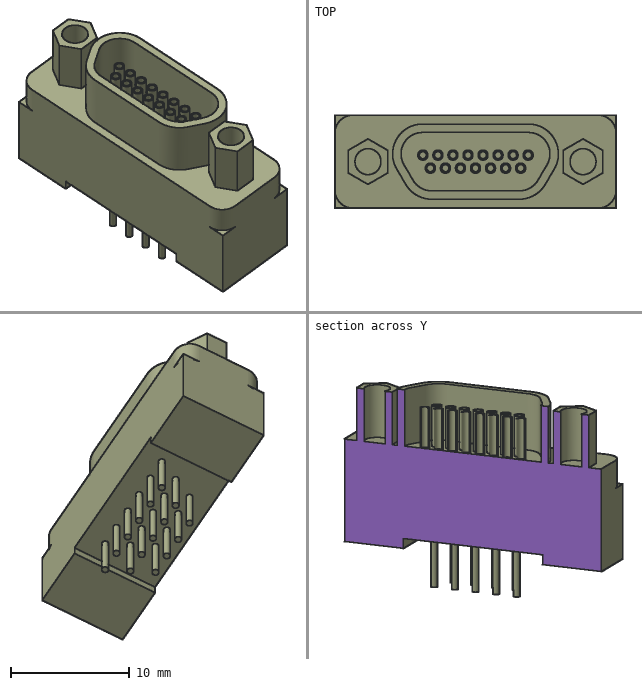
import math

import cadquery as cq

BODY_LENGTH = 23.75
BODY_WIDTH = 7.87
BODY_HEIGHT = 9.0
FOOT_GAP = 12.83
FOOT_HEIGHT = 0.86
CORNER_RADIUS = 1.54
CORNER_DEPTH = 2.43

SHELL_LENGTH = 14.0
SHELL_WIDTH = 6.35
SHELL_HEIGHT = 4.935
SHELL_WALL = 0.71
SHELL_RADIUS = 2.52
SHELL_SLANT = math.radians(30.5)

POST_SPACING = 18.16
POST_ACROSS_CORNERS = 3.84
POST_HEIGHT = 4.6
POST_BORE = 2.2

CONTACT_PITCH = 1.27
CONTACT_ROW_SPACING = 1.1
CONTACT_DIAMETER = 0.84
CONTACT_BORE = 0.6
CONTACT_HEIGHT = 3.54
CONTACT_COUNT_BACK = 8
CONTACT_COUNT_FRONT = 7

TAIL_PITCH = 1.905
TAIL_DIAMETER = 0.57
TAIL_REACH = 3.175
TAIL_COUNTS = (4, 5, 6)

FUSE_OVERLAP = 0.2


def row_points(count, pitch, y):
    """Points of one row, evenly spaced along X and centred on X = 0."""
    return [((i - (count - 1) / 2) * pitch, y) for i in range(count)]


def make_body():
    """Block with a gap between its feet and rounded upper corners."""
    rounded_top = (
        cq.Workplane("XY")
        .workplane(offset=BODY_HEIGHT - CORNER_DEPTH)
        .rect(BODY_LENGTH, BODY_WIDTH)
        .extrude(CORNER_DEPTH)
        .edges("|Z")
        .fillet(CORNER_RADIUS)
    )
    block = cq.Workplane("XY").rect(BODY_LENGTH, BODY_WIDTH).extrude(BODY_HEIGHT - CORNER_DEPTH)
    foot_gap = cq.Workplane("XY").rect(FOOT_GAP, BODY_WIDTH).extrude(FOOT_HEIGHT)
    return block.union(rounded_top).cut(foot_gap)


def d_prism(inset, z_start, height):
    """Rounded D-shaped prism whose sides lie inside the shell's outer wall by the inset."""
    radius = SHELL_RADIUS - inset
    half_width = SHELL_WIDTH / 2 - inset
    arc_center_x = SHELL_LENGTH / 2 - SHELL_RADIUS
    arc_center_y = SHELL_WIDTH / 2 - SHELL_RADIUS
    side_x_at_arc_center = arc_center_x + radius / math.cos(SHELL_SLANT)
    back_x = side_x_at_arc_center + (half_width - arc_center_y) * math.tan(SHELL_SLANT)
    front_x = side_x_at_arc_center - (half_width + arc_center_y) * math.tan(SHELL_SLANT)
    corners = [
        (-front_x, -half_width),
        (front_x, -half_width),
        (back_x, half_width),
        (-back_x, half_width),
    ]
    return (
        cq.Workplane("XY")
        .workplane(offset=z_start)
        .polyline(corners)
        .close()
        .extrude(height)
        .edges("|Z")
        .fillet(radius)
    )


def make_shell():
    """Open-topped D-shaped wall standing on the body."""
    outer = d_prism(0, BODY_HEIGHT - FUSE_OVERLAP, SHELL_HEIGHT + FUSE_OVERLAP)
    cavity = d_prism(SHELL_WALL, BODY_HEIGHT, SHELL_HEIGHT)
    return outer.cut(cavity)


def make_post():
    """Bored hexagonal post at the origin in X and Y, with two corners pointing along Y."""
    hexagon = (
        cq.Workplane("XY")
        .workplane(offset=BODY_HEIGHT - FUSE_OVERLAP)
        .polygon(6, POST_ACROSS_CORNERS)
        .extrude(POST_HEIGHT + FUSE_OVERLAP)
        .rotate((0, 0, 0), (0, 0, 1), 90)
    )
    bore = cq.Workplane("XY").workplane(offset=BODY_HEIGHT).circle(POST_BORE / 2).extrude(POST_HEIGHT)
    return hexagon.cut(bore)


def make_contacts():
    """Two staggered rows of tubular contacts rising from the shell floor."""
    points = row_points(CONTACT_COUNT_BACK, CONTACT_PITCH, CONTACT_ROW_SPACING / 2)
    points += row_points(CONTACT_COUNT_FRONT, CONTACT_PITCH, -CONTACT_ROW_SPACING / 2)
    barrels = (
        cq.Workplane("XY")
        .workplane(offset=BODY_HEIGHT - FUSE_OVERLAP)
        .pushPoints(points)
        .circle(CONTACT_DIAMETER / 2)
        .extrude(CONTACT_HEIGHT + FUSE_OVERLAP)
    )
    bores = (
        cq.Workplane("XY")
        .workplane(offset=BODY_HEIGHT)
        .pushPoints(points)
        .circle(CONTACT_BORE / 2)
        .extrude(CONTACT_HEIGHT)
    )
    return barrels.cut(bores)


def make_tails():
    """Round solder tails hanging below the raised underside, fewest in the -Y row."""
    points = []
    for row, count in enumerate(TAIL_COUNTS):
        points += row_points(count, TAIL_PITCH, (row - 1) * TAIL_PITCH)
    return (
        cq.Workplane("XY")
        .workplane(offset=-TAIL_REACH)
        .pushPoints(points)
        .circle(TAIL_DIAMETER / 2)
        .extrude(TAIL_REACH + FOOT_HEIGHT + FUSE_OVERLAP)
    )


result = make_body().union(make_shell()).union(make_contacts()).union(make_tails())
for post_x, post_y in row_points(2, POST_SPACING, 0):
    result = result.union(make_post().translate((post_x, post_y, 0)))